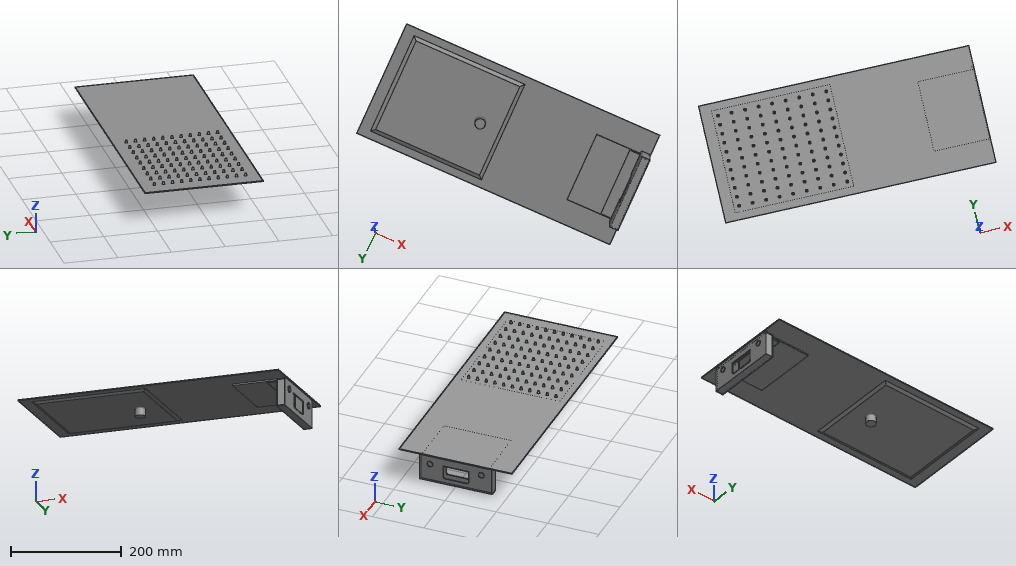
import cadquery as cq

plate_length = 500.0
plate_width = 220.0
plate_thickness = 2.0

nozzle_height = 4.5
nozzle_base_diameter = 5.0
nozzle_tip_diameter = 2.5
nozzle_columns = 9
nozzle_rows = 11
nozzle_pitch_x = 25.0
nozzle_pitch_y = 17.0
nozzle_field_x = -119.5

tray_length = 219.0
tray_width = 192.0
tray_depth = 3.0
tray_slope = 7.0

inlet_x = -55.5
inlet_diameter = 19.0
inlet_bottom = -20.0
inlet_fillet = 1.0

total_height = 60.0
bracket_width = 142.0
bracket_depth = 17.0
bracket_back_gap = 1.5
sheet_thickness = 2.0
bend_radius = 1.5

window_width = 50.5
window_bottom = -44.5
window_radius = 5.0
back_window_top = -18.5

support_length = 103.0
support_width = 131.0
support_thickness = 3.0
flange_reach = 20.0
flange_width = 128.0
flange_thickness = 2.0

screw_diameter = 11.0
screw_spacing = 100.0
screw_z = -19.0

plate_bottom = -plate_thickness
bracket_bottom = nozzle_height - total_height
bracket_back = plate_length / 2 - bracket_back_gap
bracket_front = bracket_back - bracket_depth
tray_bottom = plate_bottom - tray_depth
support_bottom = plate_bottom - support_thickness


def box_between(x_min, x_max, width, z_min, z_max):
    """Box centred on Y, given by its X and Z limits."""
    size = (x_max - x_min, width, z_max - z_min)
    return cq.Workplane("XY").box(*size, centered=(False, True, False)).translate((x_min, 0, z_min))


def spray_plate():
    return box_between(-plate_length / 2, plate_length / 2, plate_width, plate_bottom, 0)


def nozzles():
    """Grid of small tapered nozzles standing on the plate."""
    base_radius = nozzle_base_diameter / 2
    tip_radius = nozzle_tip_diameter / 2
    root = plate_thickness / 2
    profile = [(0, -root), (base_radius, -root), (base_radius, 0), (tip_radius, nozzle_height), (0, nozzle_height)]
    nozzle = cq.Workplane("XZ").polyline(profile).close().revolve(360, (0, 0, 0), (0, 1, 0)).val()
    return (
        cq.Workplane("XY")
        .center(nozzle_field_x, 0)
        .rarray(nozzle_pitch_x, nozzle_pitch_y, nozzle_columns, nozzle_rows)
        .eachpoint(lambda place: nozzle.moved(place))
    )


def water_tray():
    """Shallow tray under the nozzles, narrowing downwards, with a round inlet spigot."""
    tray = (
        cq.Workplane("XY", origin=(nozzle_field_x, 0, plate_bottom))
        .rect(tray_length, tray_width)
        .workplane(offset=-tray_depth)
        .rect(tray_length - 2 * tray_slope, tray_width - 2 * tray_slope)
        .loft(ruled=True)
    )
    spigot = (
        cq.Workplane("XY", origin=(inlet_x, 0, tray_bottom))
        .circle(inlet_diameter / 2)
        .extrude(inlet_bottom - tray_bottom)
    )
    joint = cq.selectors.NearestToPointSelector((inlet_x, 0, tray_bottom))
    return tray.union(spigot).edges("%CIRCLE").edges(joint).fillet(inlet_fillet)


def support_plates():
    """Backing plate under the spray plate and the bracket flange below it."""
    support = box_between(bracket_back - support_length, bracket_back, support_width, support_bottom, plate_bottom)
    flange = box_between(
        bracket_front - flange_reach,
        bracket_front + bend_radius,
        flange_width,
        support_bottom - flange_thickness,
        support_bottom,
    )
    return support.union(flange)


def wall_bracket():
    """Hollow sheet bracket with windowed front and back walls; the back wall reaches the plate."""
    bracket = box_between(bracket_front, bracket_back, bracket_width, bracket_bottom, support_bottom)
    bracket = bracket.faces("<X").edges("|Z or <Z").fillet(bend_radius)
    cavity = box_between(
        bracket_front + sheet_thickness,
        bracket_back - sheet_thickness,
        bracket_width - 2 * sheet_thickness,
        bracket_bottom + sheet_thickness,
        support_bottom,
    )
    bracket_middle = (bracket_front + bracket_back) / 2
    front_window = box_between(bracket_front, bracket_middle, window_width, window_bottom, support_bottom)
    back_window = box_between(bracket_middle, bracket_back, window_width, window_bottom, back_window_top)
    front_window = front_window.edges("|X and <Z").fillet(window_radius)
    back_window = back_window.edges("|X and <Z").fillet(window_radius)
    back_rim = box_between(
        bracket_back - sheet_thickness, bracket_back, bracket_width, support_bottom, plate_bottom
    )
    return bracket.cut(cavity).cut(front_window).cut(back_window).union(back_rim)


def wall_screws():
    """Pair of screw heads on the back wall, ending flush with the plate's end."""
    return (
        cq.Workplane("YZ", origin=(bracket_back - sheet_thickness, 0, screw_z))
        .rarray(screw_spacing, 5, 2, 1)
        .circle(screw_diameter / 2)
        .extrude(sheet_thickness + bracket_back_gap)
    )


result = spray_plate()
for feature in (nozzles(), water_tray(), wall_bracket(), support_plates(), wall_screws()):
    result = result.union(feature)